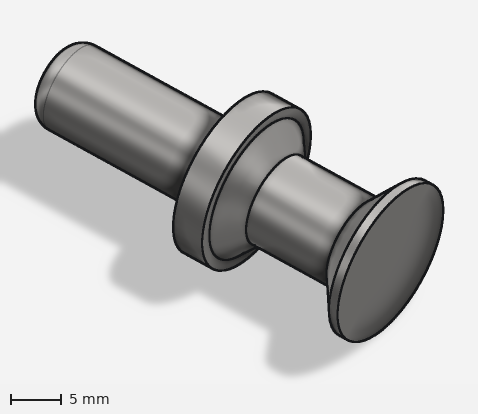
import cadquery as cq

length = 41.2

pin_diameter = 9.5
flange_diameter = 18.0
flange_back_diameter = 15.6
neck_diameter = 10.0
head_diameter = 17.5

pin_length = 20.0
flange_front_cone_length = 1.15
flange_rim_width = 3.6
flange_back_cone_length = 2.45
head_cone_length = 3.1
head_rim_width = 1.07

pin_end_radius = 2.0

flange_rim_start = pin_length + flange_front_cone_length
flange_rim_end = flange_rim_start + flange_rim_width
neck_start = flange_rim_end + flange_back_cone_length
head_rim_start = length - head_rim_width
neck_end = head_rim_start - head_cone_length

profile = (
    cq.Workplane("XY")
    .moveTo(0, 0)
    .lineTo(0, pin_diameter / 2)
    .lineTo(pin_length, pin_diameter / 2)
    .lineTo(flange_rim_start, flange_diameter / 2)
    .lineTo(flange_rim_end, flange_diameter / 2)
    .lineTo(flange_rim_end, flange_back_diameter / 2)
    .lineTo(neck_start, neck_diameter / 2)
    .lineTo(neck_end, neck_diameter / 2)
    .lineTo(head_rim_start, head_diameter / 2)
    .lineTo(length, head_diameter / 2)
    .lineTo(length, 0)
    .close()
)
body = profile.revolve(360, (0, 0, 0), (1, 0, 0))

result = body.faces("<X").edges().fillet(pin_end_radius)